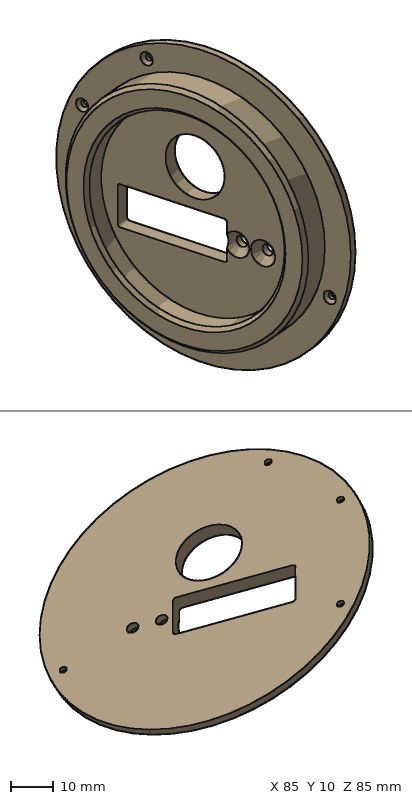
import cadquery as cq
import math

flange_diameter = 85.0
flange_thickness = 2.0
ring_diameter = 70.0
total_depth = 10.0
rim_chamfer = 1.0

pocket_diameter = 56.3
floor_thickness = 4.0

port_diameter = 17.0
port_center = (-1.1, 11.4)
window_width = 31.5
window_height = 11.7
window_center = (-7.65, -5.95)
window_corner_radius = 0.85

floor_hole_diameter = 3.0
floor_sink_diameter = 7.0
floor_hole_xs = (11.05, 18.5)

mount_hole_diameter = 1.8
mount_sink_diameter = 3.6
mount_circle_radius = 38.8
mount_angles = (-20.0, 115.0, 154.5, 205.5)

sink_angle = 90.0

mouth_taper = 45.0


def front_plane(distance):
    """XZ plane facing -Y, at a distance in front of the back face."""
    return cq.Workplane("XZ", origin=(0, -distance, 0))


def disc(diameter, start, end):
    return front_plane(start).circle(diameter / 2).extrude(end - start)


flange = disc(flange_diameter, 0, flange_thickness)
ring = disc(ring_diameter, 0, total_depth).faces("<Y").chamfer(rim_chamfer)
body = flange.union(ring)

pocket = disc(pocket_diameter, floor_thickness, total_depth)
mouth = (
    front_plane(total_depth)
    .circle(pocket_diameter / 2 + rim_chamfer)
    .extrude(-rim_chamfer, taper=mouth_taper)
)
body = body.cut(pocket).cut(mouth)

port = front_plane(0).center(*port_center).circle(port_diameter / 2).extrude(floor_thickness)
window = (
    front_plane(0)
    .center(*window_center)
    .rect(window_width, window_height)
    .extrude(floor_thickness)
    .edges("|Y")
    .fillet(window_corner_radius)
)
body = body.cut(port).cut(window)

floor_hole_points = [(x, window_center[1]) for x in floor_hole_xs]
body = (
    body.copyWorkplane(front_plane(floor_thickness))
    .pushPoints(floor_hole_points)
    .cskHole(floor_hole_diameter, floor_sink_diameter, sink_angle, depth=floor_thickness)
)

mount_points = [
    (
        mount_circle_radius * math.cos(math.radians(angle)),
        mount_circle_radius * math.sin(math.radians(angle)),
    )
    for angle in mount_angles
]
result = (
    body.copyWorkplane(front_plane(flange_thickness))
    .pushPoints(mount_points)
    .cskHole(mount_hole_diameter, mount_sink_diameter, sink_angle, depth=flange_thickness)
)